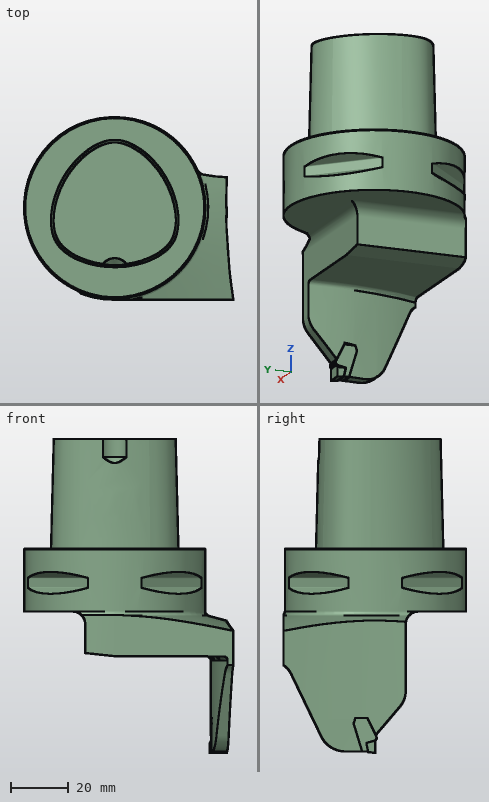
import cadquery as cq
import math


pick_margin = 0.1

shank_height = 38.0
shank_base_radius = 22.15
shank_taper = 1 / 40
lobe_amplitude = 1.45
lobe_count = 3
lobe_half_span = math.radians(36.5)
points_per_face = 7

key_radius = 5.0
key_axis_y = -22.5
key_depth = 6.35
key_cone_height = 4.2

flange_radius = 31.5
flange_height = 22.0
flange_chamfer = 0.4

groove_z = -12.0
groove_floor_width = 3.4
groove_floor_distance = 27.85
groove_wall_angle = math.radians(30)
groove_corner_radius = 0.4
groove_angles = (45, 135, 225, 315)

arm_left_x = -10.3
arm_back_y = 10.55
arm_front_y = -32.0
arm_bottom_z = -37.5
arm_left_bottom_z = -36.4
arm_fillet = 4.2
arm_reach = 60.0
collar_radius = 32.5
collar_z = -23.4
collar_sagitta = 0.25
arm_top_slope = math.radians(15)

outer_face_x = 38.75
outer_face_y = 0.0
outer_face_radius = 207.0
inner_face_x = 33.3
inner_face_y = 0.0
inner_face_radius = 90.0
blade_root_fillet = 1.5
blade_bottom_z = -70.6
blade_back_slope = math.radians(49.6)
blade_back_corner_z = -52.6
blade_back_corner_radius = 8.5
blade_front_slope = math.radians(25.7)
blade_front_corner_y = -16.35
blade_front_corner_radius = 9.5
blade_heel_z = -40.6
blade_heel_end_z = -43.6

insert_tip_z = -71.1
insert_inner_x = 33.6
insert_top_z = -59.0
insert_top_y = (-7.0, -2.8)
insert_neck_z = -66.7
insert_ramp_end_z = -67.7
insert_head_x = (32.95, 39.05)
insert_seat_outline = [
    (insert_top_y[1], insert_top_z),
    (insert_top_y[0], insert_top_z),
    (-7.6, -60.8),
    (-4.6, blade_bottom_z),
    (0.0, blade_bottom_z),
    (0.0, insert_neck_z),
    (0.5, -66.0),
    (0.2, -65.0),
]
insert_head_outline = [(0.0, insert_neck_z), (-3.2, -67.6), (-2.5, -70.8), (0.0, insert_tip_z)]
seat_relief = 0.6


def polygon_point(mean_radius, angle):
    """Point of the rounded-triangle curve whose outward normal is at the given angle."""
    phase = lobe_count * (angle - math.pi / 2)
    support = mean_radius + lobe_amplitude * math.cos(phase)
    slide = -lobe_count * lobe_amplitude * math.sin(phase)
    x = support * math.cos(angle) - slide * math.sin(angle)
    y = support * math.sin(angle) + slide * math.cos(angle)
    return x, y


def polygon_wire(mean_radius, z):
    """Closed curve of alternating lobe and flank edges."""
    edges = []
    pitch = 2 * math.pi / lobe_count
    for lobe in range(lobe_count):
        centre = math.pi / 2 + lobe * pitch
        breaks = (centre - lobe_half_span, centre + lobe_half_span, centre + pitch - lobe_half_span)
        for start, end in zip(breaks, breaks[1:]):
            step = (end - start) / (points_per_face - 1)
            angles = [start + i * step for i in range(points_per_face)]
            points = [cq.Vector(*polygon_point(mean_radius, a), z) for a in angles]
            tangents = [cq.Vector(-math.sin(a), math.cos(a), 0) for a in (start, end)]
            edges.append(cq.Edge.makeSpline(points, tangents=tangents))
    return cq.Wire.assembleEdges(edges)


def make_shank():
    base = polygon_wire(shank_base_radius, 0)
    top = polygon_wire(shank_base_radius - shank_height * shank_taper, shank_height)
    shank = cq.Workplane(obj=cq.Solid.makeLoft([base, top], True))
    key_floor_z = shank_height - key_depth
    keyway = (
        cq.Workplane("XZ", origin=(0, key_axis_y, 0))
        .moveTo(0, shank_height)
        .lineTo(key_radius, shank_height)
        .lineTo(key_radius, key_floor_z)
        .lineTo(0, key_floor_z - key_cone_height)
        .close()
        .revolve(360, (0, 0), (0, 1))
    )
    return shank.cut(keyway)


def make_flange():
    flange = cq.Workplane("XY").circle(flange_radius).extrude(-flange_height)
    flange = flange.faces(">Z").chamfer(flange_chamfer)
    depth = flange_radius - groove_floor_distance
    floor_half = groove_floor_width / 2
    mouth_half = floor_half + depth * math.tan(groove_wall_angle)
    groove = (
        cq.Workplane("XZ")
        .moveTo(groove_floor_distance, groove_z - floor_half)
        .lineTo(flange_radius, groove_z - mouth_half)
        .lineTo(flange_radius, groove_z + mouth_half)
        .lineTo(groove_floor_distance, groove_z + floor_half)
        .close()
        .extrude(flange_radius, both=True)
    )
    groove = groove.edges("|Y").edges("<X").fillet(groove_corner_radius)
    for angle in groove_angles:
        flange = flange.cut(groove.rotate((0, 0, 0), (0, 0, 1), angle))
    return flange


def make_face_cylinder(nearest_x, nearest_y, radius):
    """Upright cylinder, centred beyond +X, whose surface is a blade face."""
    return (
        cq.Workplane("XY", origin=(nearest_x + radius, nearest_y, insert_tip_z))
        .circle(radius)
        .extrude(-insert_tip_z)
    )


def make_arm():
    """Arm flaring into the flange underside, under a conical top."""
    slab_thickness = 2.0
    slab_size = 4 * flange_radius
    front_length = arm_back_y + 2 * flange_radius
    arm = (
        cq.Workplane("XZ", origin=(0, arm_back_y, 0))
        .moveTo(arm_left_x, -flange_height)
        .lineTo(arm_left_x, arm_left_bottom_z)
        .lineTo(0, arm_bottom_z)
        .lineTo(arm_reach, arm_bottom_z)
        .lineTo(arm_reach, -flange_height)
        .close()
        .extrude(front_length)
    )
    slab = (
        cq.Workplane("XY", origin=(0, 0, -flange_height))
        .rect(slab_size, slab_size)
        .extrude(slab_thickness)
    )
    arm = arm.union(slab)
    inner_corner = cq.selectors.BoxSelector(
        (arm_left_x - pick_margin, -slab_size, -flange_height - pick_margin),
        (arm_reach + pick_margin, arm_back_y + pick_margin, -flange_height + pick_margin),
    )
    arm = arm.edges(inner_corner).edges("<X or >Y").fillet(arm_fillet)

    front_radius = -arm_front_y
    plan = (
        cq.Workplane("XY", origin=(0, 0, arm_bottom_z))
        .moveTo(0, arm_front_y)
        .lineTo(arm_reach, arm_front_y)
        .lineTo(arm_reach, front_radius)
        .lineTo(0, front_radius)
        .threePointArc((-front_radius, 0), (0, arm_front_y))
        .close()
        .extrude(-arm_bottom_z - flange_height)
    )
    rim_radius = 2 * flange_radius
    rim_z = collar_z - (rim_radius - collar_radius) * math.tan(arm_top_slope)
    conical_top = (
        cq.Workplane("XZ")
        .moveTo(0, -flange_height)
        .lineTo(flange_radius, -flange_height)
        .sagittaArc((collar_radius, collar_z), -collar_sagitta)
        .lineTo(rim_radius, rim_z)
        .lineTo(rim_radius, arm_bottom_z)
        .lineTo(0, arm_bottom_z)
        .close()
        .revolve(360, (0, 0), (0, 1))
    )
    return arm.intersect(plan).intersect(conical_top)


def make_blade_outline():
    """Side profile of the blade, carried up to the underside of the arm."""
    back_tangent = blade_back_corner_radius * math.tan((math.pi / 2 - blade_back_slope) / 2)
    back_run = (blade_back_corner_z - blade_bottom_z) / math.tan(blade_back_slope)
    front_tangent = blade_front_corner_radius * math.tan((math.pi / 2 - blade_front_slope) / 2)
    heel_end_y = blade_front_corner_y - (blade_heel_end_z - blade_bottom_z) * math.tan(blade_front_slope)
    front_direction = (math.sin(blade_front_slope), math.cos(blade_front_slope))
    return (
        cq.Workplane("YZ")
        .moveTo(arm_back_y, arm_bottom_z)
        .lineTo(arm_back_y, blade_back_corner_z + back_tangent)
        .tangentArcPoint(
            (arm_back_y - back_tangent * math.cos(blade_back_slope),
             blade_back_corner_z - back_tangent * math.sin(blade_back_slope)),
            relative=False,
        )
        .lineTo(arm_back_y - back_run, blade_bottom_z)
        .lineTo(blade_front_corner_y + front_tangent, blade_bottom_z)
        .tangentArcPoint(
            (blade_front_corner_y - front_tangent * front_direction[0],
             blade_bottom_z + front_tangent * front_direction[1]),
            relative=False,
        )
        .lineTo(heel_end_y, blade_heel_end_z)
        .tangentArcPoint((arm_front_y, blade_heel_z), relative=False)
        .lineTo(arm_front_y, arm_bottom_z)
        .close()
    )


def make_insert_slot():
    """Through slot for the insert, with a bevel at its closed end."""
    slot = (
        cq.Workplane("YZ", origin=(insert_head_x[0], 0, 0))
        .polyline(insert_seat_outline)
        .close()
        .extrude(insert_head_x[1] - insert_head_x[0])
    )
    relief = (
        cq.Workplane("XZ", origin=(0, insert_top_y[1], 0))
        .moveTo(insert_inner_x, insert_top_z)
        .lineTo(insert_inner_x - seat_relief, insert_top_z)
        .lineTo(insert_inner_x - seat_relief, insert_top_z + 2 * seat_relief)
        .close()
        .extrude(insert_top_y[1] - insert_top_y[0])
    )
    return slot.union(relief)


def make_holder():
    arm = make_arm()
    blade = make_blade_outline().extrude(arm_reach)
    blade = blade.intersect(make_face_cylinder(inner_face_x, inner_face_y, inner_face_radius))
    head = arm.union(blade)
    root_end_x = inner_face_x + inner_face_radius - math.sqrt(
        inner_face_radius ** 2 - (arm_front_y - inner_face_y) ** 2
    )
    root = cq.selectors.BoxSelector(
        (inner_face_x - pick_margin, arm_front_y - pick_margin, arm_bottom_z - pick_margin),
        (root_end_x + pick_margin, arm_back_y + pick_margin, arm_bottom_z + pick_margin),
        boundingbox=True,
    )
    head = head.edges(root).fillet(blade_root_fillet)
    head = head.cut(make_face_cylinder(outer_face_x, outer_face_y, outer_face_radius))
    return make_flange().union(make_shank()).union(head).cut(make_insert_slot())


def make_insert():
    """Flat shank filling the blade slot, with a proud cutting head at the tip."""
    shank = (
        cq.Workplane("YZ", origin=(insert_inner_x, 0, 0))
        .polyline(insert_seat_outline)
        .close()
        .extrude(outer_face_x - insert_inner_x)
    )
    head_inner_x, head_outer_x = insert_head_x
    head_section = (
        cq.Workplane("XZ")
        .moveTo(insert_inner_x, insert_neck_z)
        .lineTo(head_inner_x, insert_ramp_end_z)
        .lineTo(head_inner_x, insert_tip_z)
        .lineTo(head_outer_x, insert_tip_z)
        .lineTo(head_outer_x, insert_neck_z)
        .close()
        .extrude(-arm_front_y)
    )
    head = (
        cq.Workplane("YZ")
        .polyline(insert_head_outline)
        .close()
        .extrude(arm_reach)
        .intersect(head_section)
    )
    return shank.union(head)


insert = make_insert()
holder = make_holder()

result = cq.Compound.makeCompound([holder.val(), insert.val()])